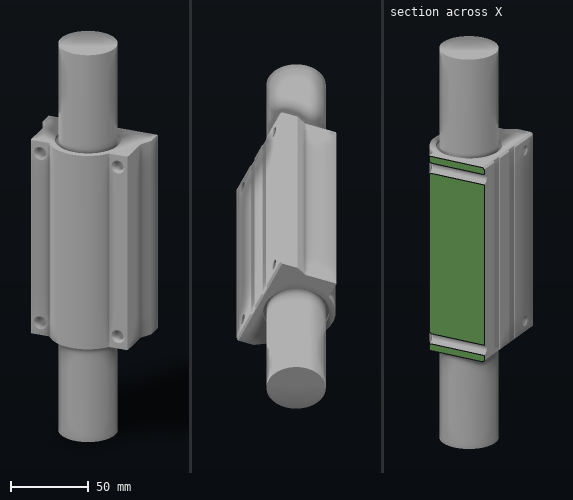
import cadquery as cq
import math

shaft_length = 272.0
shaft_diameter = 38.0
bearing_diameter = 42.5
bearing_recess = 2.2

block_length = 136.0
block_width = 76.0
block_depth = 51.5
barrel_radius = 25.3

waist_width = 67.7
shoulder_start = 12.0
shoulder_end = 19.0
flat_depth = 40.5
corner_chamfer = 0.5
end_chamfer = 1.4

groove_inner = 6.3
groove_outer = 13.5
groove_depth = 0.8

hole_spacing_x = 54.0
hole_spacing_z = 119.0
hole_diameter = 6.8
countersink_diameter = 9.0
countersink_angle = 90

mount_y = block_depth - barrel_radius
flat_y = mount_y - flat_depth
half_width = block_width / 2
half_waist = waist_width / 2
half_flat = half_waist - corner_chamfer
barrel_half_chord = math.sqrt(barrel_radius**2 - flat_y**2)


def make_block():
    """Extruded housing: wide mounting flange, narrower waist and round barrel."""
    profile = (
        cq.Workplane("XY", origin=(0, 0, -block_length / 2))
        .moveTo(-half_width, mount_y)
        .lineTo(half_width, mount_y)
        .lineTo(half_width, mount_y - shoulder_start)
        .lineTo(half_waist, mount_y - shoulder_end)
        .lineTo(half_waist, flat_y + corner_chamfer)
        .lineTo(half_flat, flat_y)
        .lineTo(barrel_half_chord, flat_y)
        .threePointArc((0, -barrel_radius), (-barrel_half_chord, flat_y))
        .lineTo(-half_flat, flat_y)
        .lineTo(-half_waist, flat_y + corner_chamfer)
        .lineTo(-half_waist, mount_y - shoulder_end)
        .lineTo(-half_width, mount_y - shoulder_start)
        .close()
    )
    block = profile.extrude(block_length)
    block = block.faces(">Y").edges("|Z").chamfer(corner_chamfer)
    return block.faces(">Y").edges("|X").chamfer(end_chamfer)


def make_grooves():
    """Two shallow grooves running the full length of the mounting face."""
    groove_centre = (groove_inner + groove_outer) / 2
    return (
        cq.Workplane("XY")
        .pushPoints([(-groove_centre, mount_y), (groove_centre, mount_y)])
        .box(groove_outer - groove_inner, 2 * groove_depth, block_length)
    )


def drill_mounting_holes(block):
    """Four through holes, countersunk on the flats beside the barrel."""
    return (
        block.copyWorkplane(cq.Workplane("XZ", origin=(0, flat_y, 0)))
        .rarray(hole_spacing_x, hole_spacing_z, 2, 2)
        .cskHole(hole_diameter, countersink_diameter, countersink_angle)
    )


def cut_bearing_recesses(block):
    """Shallow round recess around the shaft at both ends of the block."""
    recess = cq.Workplane("XY").circle(bearing_diameter / 2).extrude(bearing_recess)
    top = recess.translate((0, 0, block_length / 2 - bearing_recess))
    bottom = recess.translate((0, 0, -block_length / 2))
    return block.cut(top).cut(bottom)


block = make_block().cut(make_grooves())
block = drill_mounting_holes(block)
block = cut_bearing_recesses(block)

shaft = (
    cq.Workplane("XY", origin=(0, 0, -shaft_length / 2))
    .circle(shaft_diameter / 2)
    .extrude(shaft_length)
)

result = block.union(shaft)